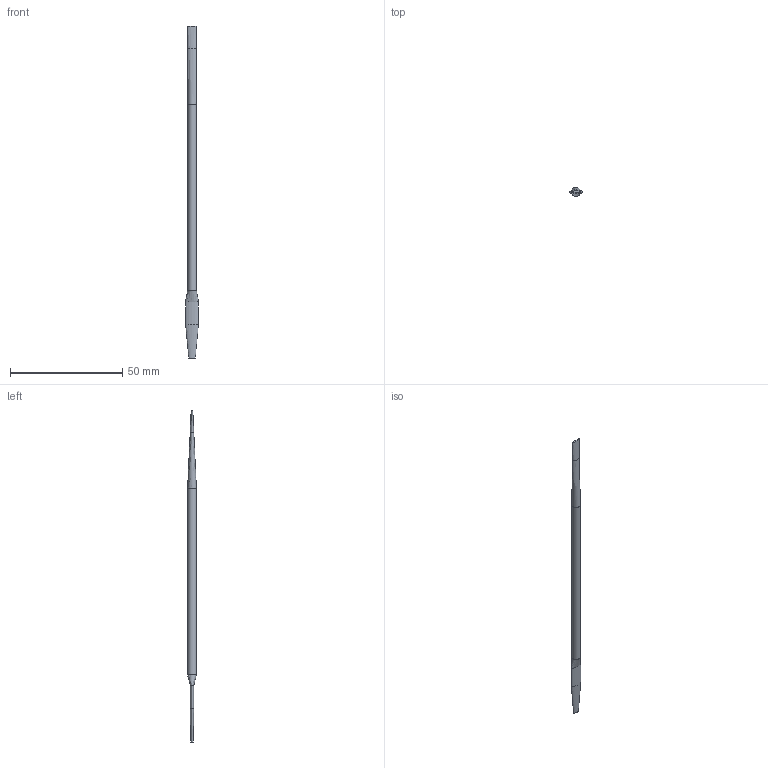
import cadquery as cq


length = 148.0
blade_taper_length = 15.0
blade_straight_length = 10.0
blade_neck_length = 5.0
shaft_top_drop = 35.0
chisel_length = 10.0

shaft_diameter = 3.92
blade_width = 5.69
blade_thickness = 1.6
blade_end_width = 2.85
blade_end_thickness = 1.1
chisel_width = shaft_diameter
chisel_root_thickness = 1.62
chisel_tip_thickness = 0.75

bottom = -length / 2
top = length / 2
blade_taper_top = bottom + blade_taper_length
blade_top = blade_taper_top + blade_straight_length
shaft_bottom = blade_top + blade_neck_length
shaft_top = top - shaft_top_drop
chisel_root = top - chisel_length

shaft_section = (shaft_diameter, shaft_diameter)
blade_section = (blade_width, blade_thickness)
blade_end_section = (blade_end_width, blade_end_thickness)
chisel_root_section = (chisel_width, chisel_root_thickness)
chisel_tip_section = (chisel_width, chisel_tip_thickness)


def lofted_length(start_height, start_section, end_height, end_section):
    """Straight blend between two elliptical sections on the tool axis."""
    start_width, start_thickness = start_section
    end_width, end_thickness = end_section
    return (
        cq.Workplane("XY")
        .workplane(offset=start_height)
        .ellipse(start_width / 2, start_thickness / 2)
        .workplane(offset=end_height - start_height)
        .ellipse(end_width / 2, end_thickness / 2)
        .loft(ruled=True)
    )


stations = [
    (bottom, blade_end_section),
    (blade_taper_top, blade_section),
    (blade_top, blade_section),
    (shaft_bottom, shaft_section),
    (shaft_top, shaft_section),
    (chisel_root, chisel_root_section),
    (top, chisel_tip_section),
]

result = cq.Workplane("XY")
for (low, low_section), (high, high_section) in zip(stations, stations[1:]):
    result = result.union(lofted_length(low, low_section, high, high_section))